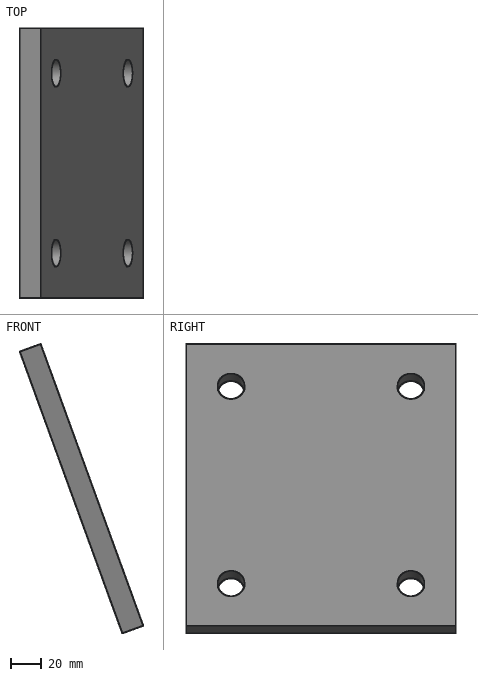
import cadquery as cq
import math

depth_x = 82.5
width = 180.0
height_z = 193.0
tilt = 20.0

hole_diameter = 18.0
hole_spacing_across = 119.9
hole_spacing_along = 140.0

sin_tilt = math.sin(math.radians(tilt))
cos_tilt = math.cos(math.radians(tilt))
cos_double_tilt = cos_tilt**2 - sin_tilt**2
length = (height_z * cos_tilt - depth_x * sin_tilt) / cos_double_tilt
thickness = (depth_x * cos_tilt - height_z * sin_tilt) / cos_double_tilt

plate = (
    cq.Workplane("YZ")
    .rect(width, length)
    .extrude(thickness / 2, both=True)
    .faces(">X")
    .workplane(centerOption="CenterOfBoundBox")
    .rect(hole_spacing_across, hole_spacing_along, forConstruction=True)
    .vertices()
    .hole(hole_diameter)
)

result = plate.rotate((0, 0, 0), (0, 1, 0), -tilt)